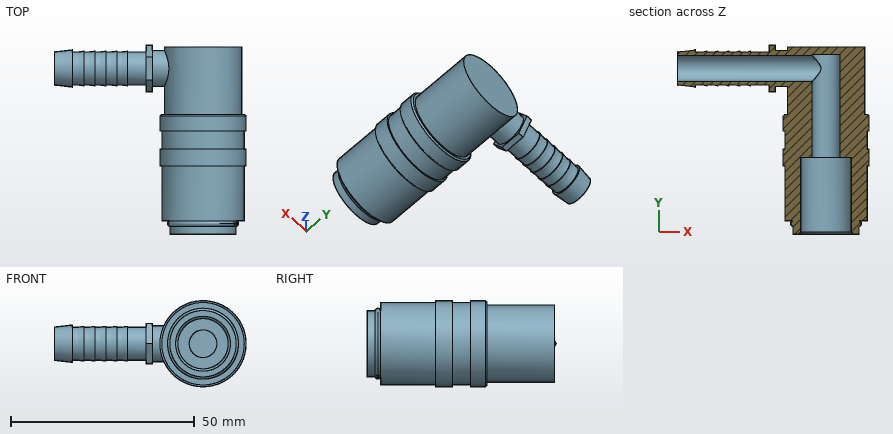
import cadquery as cq
import math


hex_flats = 11.0
hex_corners = hex_flats / math.cos(math.pi / 6)
total_length = 51.5
mouth_y = hex_corners / 2 - total_length
closed_end_y = 5.9
elbow_radius = 10.55
sleeve_radius = 11.25
sleeve_end_y = -41.5
collar_radius = 11.75
collar_width = 4.55
collar_chamfer = 0.45
rear_collar_y = -12.5
front_collar_y = -21.95
spigot_radius = 9.05
bead_radius = 9.65
bead_width = 1.5

mouth_radius = 7.45
socket_radius = 6.85
mouth_chamfer = mouth_radius - socket_radius
socket_depth = 20.9
passage_radius = 3.75
passage_end_y = passage_radius

total_width = 52.25
tail_tip_x = collar_radius - total_width
tail_radius = 4.55
tail_bore_radius = 3.5
tip_barb_length = 4.9
tip_barb_radius = 5.1
ring_count = 5
ring_pitch = 3.0
ring_length = ring_pitch / 2
ring_radius = 4.75
first_ring_gap = 1.65
first_ring_x = tail_tip_x + tip_barb_length + first_ring_gap
hex_x = -15.5
hex_thickness = 1.7
neck_radius = 4.95


def body_cylinder(radius, start_y, length):
    """Cylinder on the body axis, running from start_y toward the mouth (-Y)."""
    return cq.Workplane("XZ", origin=(0, start_y, 0)).circle(radius).extrude(length)


def tail_cylinder(radius, start_x, end_x):
    """Cylinder on the hose tail axis."""
    return cq.Workplane("YZ", origin=(start_x, 0, 0)).circle(radius).extrude(end_x - start_x)


def tail_cone(start_x, length, start_radius, end_radius):
    """Cone on the hose tail axis, widening or narrowing toward the body."""
    return cq.Workplane(
        cq.Solid.makeCone(start_radius, end_radius, length, cq.Vector(start_x, 0, 0), cq.Vector(1, 0, 0))
    )


def make_body():
    elbow = body_cylinder(elbow_radius, closed_end_y, closed_end_y - rear_collar_y)
    sleeve = body_cylinder(sleeve_radius, rear_collar_y - collar_width,
                           rear_collar_y - collar_width - sleeve_end_y)
    spigot = body_cylinder(spigot_radius, sleeve_end_y, sleeve_end_y - mouth_y)
    bead_section_radius = bead_width / 2
    bead = cq.Workplane(
        cq.Solid.makeTorus(bead_radius - bead_section_radius, bead_section_radius,
                           cq.Vector(0, sleeve_end_y - bead_section_radius, 0), cq.Vector(0, 1, 0))
    )
    rear_collar = body_cylinder(collar_radius, rear_collar_y, collar_width)
    rear_collar = rear_collar.faces(">Y").edges().chamfer(collar_chamfer)
    front_collar = body_cylinder(collar_radius, front_collar_y, collar_width)
    return elbow.union(rear_collar).union(sleeve).union(front_collar).union(spigot).union(bead)


def make_tail():
    tail = tail_cylinder(tail_radius, tail_tip_x + tip_barb_length, hex_x)
    tail = tail.union(tail_cone(tail_tip_x, tip_barb_length, tail_radius, tip_barb_radius))
    for index in range(ring_count):
        ring_x = first_ring_x + index * ring_pitch
        tail = tail.union(tail_cone(ring_x, ring_length, tail_radius, ring_radius))
    hexagon = cq.Workplane("YZ", origin=(hex_x, 0, 0)).polygon(6, hex_corners).extrude(hex_thickness)
    neck = tail_cylinder(neck_radius, hex_x + hex_thickness, 0)
    return tail.union(hexagon).union(neck)


def make_cavity():
    socket = body_cylinder(socket_radius, mouth_y + socket_depth, socket_depth)
    flare = cq.Workplane(
        cq.Solid.makeCone(mouth_radius, socket_radius, mouth_chamfer,
                          cq.Vector(0, mouth_y, 0), cq.Vector(0, 1, 0))
    )
    passage = body_cylinder(passage_radius, passage_end_y, passage_end_y - mouth_y)
    tail_bore = tail_cylinder(tail_bore_radius, tail_tip_x, 0)
    return socket.union(flare).union(passage).union(tail_bore)


result = make_body().union(make_tail()).cut(make_cavity())